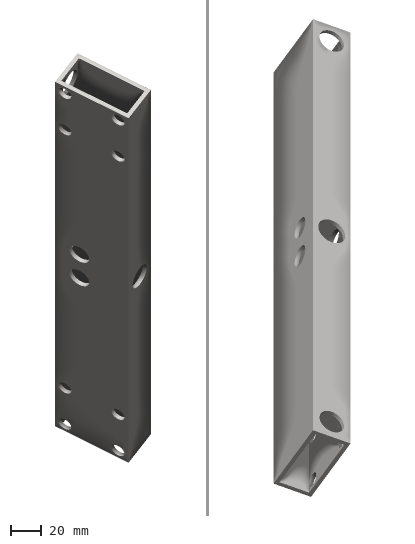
import cadquery as cq

width = 56.2
depth = 27.5
length = 370.0
wall = 3.0

fixing_diameter = 10.0
fixing_left_x = -20.7
fixing_right_x = 20.0
fixing_outer_z = 177.5
fixing_inner_z = 138.8

pair_diameter = 15.0
pair_x = -9.5
pair_z = 12.5

end_hole_diameter = 17.8
end_hole_z = 171.3
entry_diameter = 19.5
exit_diameter = 17.5

stud_diameter = 10.0
stud_height = 2.0
stud_chamfer = 0.5
stud_z = -37.0

inner_width = width - 2 * wall
inner_depth = depth - 2 * wall


def drill_along_y(diameter, x, z, reach):
    """Cylinder starting on the outer -Y face and running `reach` toward +Y."""
    start = cq.Vector(x, -depth / 2, z)
    return cq.Solid.makeCylinder(diameter / 2, reach, start, cq.Vector(0, 1, 0))


def rod_along_x(diameter, x_start, z, reach):
    """Cylinder on the Y = 0 plane, running `reach` toward +X from x_start."""
    start = cq.Vector(x_start, 0, z)
    return cq.Solid.makeCylinder(diameter / 2, reach, start, cq.Vector(1, 0, 0))


tube = cq.Workplane("XY").box(width, depth, length)
tube = tube.cut(cq.Workplane("XY").box(inner_width, inner_depth, length))

for x in (fixing_left_x, fixing_right_x):
    for z in (-fixing_outer_z, -fixing_inner_z, fixing_inner_z, fixing_outer_z):
        tube = tube.cut(drill_along_y(fixing_diameter, x, z, wall))

for z in (-pair_z, pair_z):
    tube = tube.cut(drill_along_y(pair_diameter, pair_x, z, depth))

for z in (-end_hole_z, end_hole_z):
    tube = tube.cut(rod_along_x(end_hole_diameter, -width / 2, z, wall))

tube = tube.cut(rod_along_x(entry_diameter, -width / 2, 0, wall))
tube = tube.cut(rod_along_x(exit_diameter, inner_width / 2, 0, wall))

stud_start = inner_width / 2 - stud_height
stud_rod = rod_along_x(stud_diameter, stud_start, stud_z, stud_height + wall / 2)
stud = cq.Workplane(stud_rod).faces("<X").chamfer(stud_chamfer)

result = tube.union(stud)